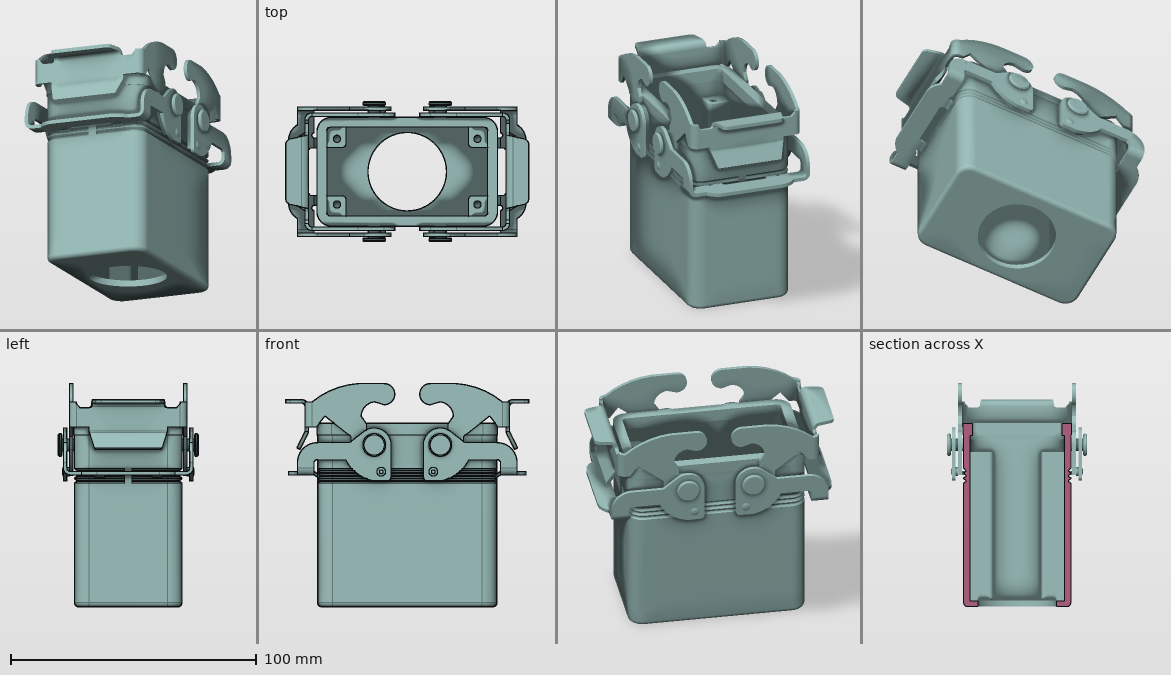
import cadquery as cq
import math

HOUSING_LENGTH = 73.0
HOUSING_WIDTH = 43.8
HOUSING_HEIGHT = 74.8
HOUSING_CORNER = 6.0
WALL_X = 3.5
WALL_Y = 2.9
FLOOR = 2.6
BOTTOM_ROUND = 1.8
RIM_HEIGHT = 4.8
RIM_STEP = 0.3
CAVITY_CORNER = 3.0
MOUTH_LENGTH = 65.5
MOUTH_WIDTH = 36.2
MOUTH_CORNER = 1.7
MOUTH_DEPTH = 5.1
CABLE_HOLE_RADIUS = 15.9
POST_TOP = 62.9
POST_INNER_X = 24.9
POST_INNER_Y = 9.9
POST_ROUND = 1.5
SCREW_HOLE_RADIUS = 1.5
SCREW_HOLE_DEPTH = 14.8
SCREW_X = 28.6
SCREW_Y = 13.4
GROOVE_DEPTH = 1.0
GROOVE_COUNT = 3
GROOVE_TOP = 56.4
GROOVE_PITCH = 2.1
GROOVE_FALL = 0.9
GROOVE_ROOT = 0.3
GROOVE_RISE = 0.6
GROOVE_BREAK = 3.2

SHEET = 1.5
BEND = 2.9
INNER_FACE_Y = 24.0
OUTER_FACE_Y = 26.4
PIVOT_X = -13.5
PIVOT_Z = 65.9

HEAD_RADIUS = 4.7
HEAD_Y = 28.5
HEAD_THICKNESS = 1.6
HEAD_CHAMFER = 0.5
PIN_RADIUS = 2.5
PIN_END_RADIUS = 1.73

STUD_X = -10.6
STUD_Z = 55.0
STUD_RADIUS = 1.8
STUD_TIP_RADIUS = 0.8
STUD_RISE = 0.4

HOOK_WALL_X = -41.7
HOOK_TOP = 91.0
HOOK_END_RADIUS = 4.4
HOOK_END_X = -9.4
HOOK_WALL_TOP = 81.2
HOOK_WALL_BOTTOM = 73.1
SHOULDER_Z = 83.4

TAB_END_X = -49.5
TAB_TOP = 84.4
TAB_HALF_WIDTH = 15.0
TAB_END_HALF_WIDTH = 12.9
TAB_ROUND = 2.2
TAB_FOOT_ROUND = 1.0

FLAP_HALF_WIDTH = 15.9
FLAP_END_HALF_WIDTH = 13.6
FLAP_BEND_Z = 71.4
FLAP_ANGLE = 26.5
FLAP_LENGTH = 7.4
FLAP_ROUND = 1.0
FLAP_BEND = 1.5

BAIL_RADIUS = 6.9
BAIL_SHOULDER_ANGLE = 126.0
BAIL_BOTTOM = 51.3
BAIL_ARM_TOP = 66.9
BAIL_ARM_BOTTOM = 59.9
BAIL_OUTER_X = -44.7
BAIL_INNER_X = -37.9
BAIL_ELBOW = 8.1
BAIL_INNER_ROUND = 0.8
FLANGE_BOTTOM = 53.6
FLANGE_END_X = -48.4
FLANGE_WINDOW_X = -40.2
TONGUE_INNER_Y = 9.6
TONGUE_OUTER_Y = 13.8
TONGUE_END_X = -HOUSING_LENGTH / 2
TONGUE_DROP = 0.9
BEND_TOP = FLANGE_BOTTOM + BEND


def plan_block(length, width, height, corner, bottom=0.0):
    """Upright block with rounded corners, centred on the Z axis."""
    block = cq.Workplane("XY").workplane(offset=bottom).rect(length, width).extrude(height)
    return block.edges("|Z").fillet(corner)


def plate_from_side(outline, y_from, y_to):
    """Extrude a closed XZ outline between two Y positions."""
    return outline.extrude(y_from - y_to).translate((0, y_from, 0))


def both_sides(shape):
    """The shape together with its mirror image across the XZ plane."""
    return shape.union(shape.mirror("XZ"))


def rounded_section(inset, height):
    """Housing outline, moved inward by inset, at a height."""
    section = (
        cq.Sketch()
        .rect(HOUSING_LENGTH - 2 * inset, HOUSING_WIDTH - 2 * inset)
        .vertices()
        .fillet(HOUSING_CORNER - inset)
    )
    return section.moved(cq.Location(cq.Vector(0, 0, height)))


def section_band(inset_low, z_low, inset_high, z_high):
    """Band between two heights whose outline is the housing's, moved inward by an inset at each end."""
    low = rounded_section(inset_low, z_low)
    high = rounded_section(inset_high, z_high)
    return cq.Workplane("XY").placeSketch(low, high).loft(ruled=True)


def make_housing_shell():
    lower_height = HOUSING_HEIGHT - RIM_HEIGHT
    body = plan_block(HOUSING_LENGTH, HOUSING_WIDTH, lower_height, HOUSING_CORNER)
    body = body.faces("<Z").edges().fillet(BOTTOM_ROUND)
    rim = plan_block(
        HOUSING_LENGTH + 2 * RIM_STEP, HOUSING_WIDTH + 2 * RIM_STEP, RIM_HEIGHT, HOUSING_CORNER, lower_height
    )
    return body.union(rim)


def make_groove_cutters():
    """Material removed by the grooves, which a rib interrupts at each end."""
    groove_height = GROOVE_FALL + GROOVE_ROOT + GROOVE_RISE
    cutters = []
    for index in range(GROOVE_COUNT):
        top = GROOVE_TOP - index * GROOVE_PITCH
        root_top = top - GROOVE_FALL
        root_bottom = root_top - GROOVE_ROOT
        bottom = top - groove_height
        cutter = plan_block(HOUSING_LENGTH, HOUSING_WIDTH, groove_height, HOUSING_CORNER, bottom)
        cutter = cutter.cut(section_band(GROOVE_DEPTH, root_top, 0, top))
        cutter = cutter.cut(section_band(GROOVE_DEPTH, root_bottom, GROOVE_DEPTH, root_top))
        cutter = cutter.cut(section_band(0, bottom, GROOVE_DEPTH, root_bottom))
        rib = cq.Workplane("XY").box(HOUSING_LENGTH, GROOVE_BREAK, 2 * top)
        cutters.append(cutter.cut(rib))
    return cutters


def make_corner_posts():
    """Screw posts sunk halfway into the walls, so that only their free corner stays round."""
    outer_x = HOUSING_LENGTH / 2 - WALL_X / 2
    outer_y = HOUSING_WIDTH / 2 - WALL_Y / 2
    bottom = FLOOR / 2
    post = plan_block(
        outer_x - POST_INNER_X, outer_y - POST_INNER_Y, POST_TOP - bottom, POST_ROUND, bottom
    )
    center_x = (outer_x + POST_INNER_X) / 2
    center_y = (outer_y + POST_INNER_Y) / 2
    return [
        post.translate((side_x * center_x, side_y * center_y, 0))
        for side_x in (-1, 1)
        for side_y in (-1, 1)
    ]


def make_screw_hole(x, y):
    """Blind hole with a conical drill point."""
    return (
        cq.Workplane("XZ")
        .moveTo(0, POST_TOP)
        .lineTo(SCREW_HOLE_RADIUS, POST_TOP)
        .lineTo(SCREW_HOLE_RADIUS, POST_TOP - SCREW_HOLE_DEPTH)
        .lineTo(0, POST_TOP - SCREW_HOLE_DEPTH - SCREW_HOLE_RADIUS)
        .close()
        .revolve(360, (0, 0), (0, 1))
        .translate((x, y, 0))
    )


def make_cavity():
    """Main pocket below a slightly narrower mouth."""
    lip_bottom = HOUSING_HEIGHT - MOUTH_DEPTH
    pocket = plan_block(
        HOUSING_LENGTH - 2 * WALL_X, HOUSING_WIDTH - 2 * WALL_Y, lip_bottom - FLOOR, CAVITY_CORNER, FLOOR
    )
    mouth = plan_block(MOUTH_LENGTH, MOUTH_WIDTH, MOUTH_DEPTH, MOUTH_CORNER, lip_bottom)
    return pocket.union(mouth)


def make_housing():
    body = make_housing_shell().cut(make_cavity())
    for post in make_corner_posts():
        body = body.union(post)
    for cutter in make_groove_cutters():
        body = body.cut(cutter)
    for x in (-SCREW_X, SCREW_X):
        for y in (-SCREW_Y, SCREW_Y):
            body = body.cut(make_screw_hole(x, y))
    cable_hole = cq.Workplane("XY").circle(CABLE_HOLE_RADIUS).extrude(FLOOR)
    pin_holes = (
        cq.Workplane("XZ").pushPoints([(-PIVOT_X, PIVOT_Z), (PIVOT_X, PIVOT_Z)])
        .circle(PIN_END_RADIUS).extrude(HOUSING_WIDTH, both=True)
    )
    return body.cut(cable_hole).cut(pin_holes)


def hook_outline():
    """Side outline of the hook plates, including the wall between them."""
    end_z = HOOK_TOP - HOOK_END_RADIUS
    return (
        cq.Workplane("XZ")
        .moveTo(HOOK_WALL_X, HOOK_WALL_BOTTOM)
        .lineTo(HOOK_WALL_X, SHOULDER_Z)
        .lineTo(-38.8, SHOULDER_Z)
        .threePointArc((-27.7, 89.5), (-15.2, HOOK_TOP))
        .lineTo(HOOK_END_X, HOOK_TOP)
        .threePointArc((HOOK_END_X + HOOK_END_RADIUS, end_z), (HOOK_END_X, end_z - HOOK_END_RADIUS))
        .threePointArc((-11.3, 82.8), (-13.4, 83.4))
        .threePointArc((-16.5, 82.1), (-18.7, 77.6))
        .lineTo(-16.6, 74.6)
        .lineTo(-16.6, 71.3)
        .threePointArc((-10.2, 69.2), (-8.9, PIVOT_Z))
        .lineTo(-8.9, 53.5)
        .lineTo(-14.4, 53.5)
        .threePointArc((-19.6, 57.1), (-23.0, 64.0))
        .lineTo(-23.0, 69.4)
        .lineTo(-33.6, 77.7)
        .lineTo(-37.0, HOOK_WALL_BOTTOM)
        .close()
    )


def make_hook_plates():
    """U-shaped sheet: two hook plates joined by an end wall."""
    length = 2 * abs(HOOK_WALL_X)
    outer = plan_block(length, 2 * INNER_FACE_Y, HOOK_TOP, BEND)
    inner = plan_block(length - 2 * SHEET, 2 * (INNER_FACE_Y - SHEET), HOOK_TOP, BEND - SHEET)
    sheet = outer.cut(inner)
    sheet = sheet.intersect(plate_from_side(hook_outline(), -INNER_FACE_Y, INNER_FACE_Y))
    shoulder_y = INNER_FACE_Y - BEND
    slope = BEND / 2
    relief = (
        cq.Workplane("YZ")
        .moveTo(-shoulder_y, HOOK_TOP)
        .lineTo(-shoulder_y, SHOULDER_Z - slope / 2)
        .lineTo(slope - shoulder_y, HOOK_WALL_TOP)
        .lineTo(shoulder_y - slope, HOOK_WALL_TOP)
        .lineTo(shoulder_y, SHOULDER_Z - slope / 2)
        .lineTo(shoulder_y, HOOK_TOP)
        .close()
        .extrude(2 * HOOK_WALL_X)
    )
    return sheet.cut(relief)


def make_tab():
    """Thumb tab bent outward from the top of the end wall."""
    inner_x = HOOK_WALL_X + SHEET
    bend_x = inner_x - BEND
    bend_z = TAB_TOP - BEND
    inner_bend = BEND - SHEET
    diagonal = math.sqrt(0.5)
    profile = (
        cq.Workplane("XZ")
        .moveTo(HOOK_WALL_X, HOOK_WALL_TOP)
        .lineTo(inner_x, HOOK_WALL_TOP)
        .lineTo(inner_x, bend_z)
        .threePointArc((bend_x + BEND * diagonal, bend_z + BEND * diagonal), (bend_x, TAB_TOP))
        .lineTo(TAB_END_X, TAB_TOP)
        .lineTo(TAB_END_X, TAB_TOP - SHEET)
        .lineTo(bend_x, TAB_TOP - SHEET)
        .threePointArc(
            (bend_x + inner_bend * diagonal, bend_z + inner_bend * diagonal), (HOOK_WALL_X, bend_z)
        )
        .close()
    )
    plan = (
        cq.Workplane("XY")
        .moveTo(inner_x, -TAB_HALF_WIDTH)
        .lineTo(inner_x, TAB_HALF_WIDTH)
        .lineTo(TAB_END_X, TAB_END_HALF_WIDTH)
        .lineTo(TAB_END_X, -TAB_END_HALF_WIDTH)
        .close()
        .extrude(HOOK_TOP)
        .edges("|Z and <X").fillet(TAB_ROUND)
    )
    return plate_from_side(profile, -TAB_HALF_WIDTH, TAB_HALF_WIDTH).intersect(plan)


def make_flap():
    """Flap below the end wall, leaning outward."""
    angle = math.radians(FLAP_ANGLE)
    inner_x = HOOK_WALL_X + SHEET
    run = FLAP_LENGTH * math.sin(angle)
    drop = FLAP_LENGTH * math.cos(angle)
    inner_bend_z = FLAP_BEND_Z - SHEET * math.tan(angle / 2)
    end_x = HOOK_WALL_X - run
    end_z = FLAP_BEND_Z - drop
    tip_z = end_z - SHEET * math.sin(angle)
    profile = (
        cq.Workplane("XZ")
        .moveTo(HOOK_WALL_X, HOOK_WALL_BOTTOM)
        .lineTo(HOOK_WALL_X, FLAP_BEND_Z)
        .lineTo(end_x, end_z)
        .lineTo(end_x + SHEET * math.cos(angle), tip_z)
        .lineTo(inner_x, inner_bend_z)
        .lineTo(inner_x, HOOK_WALL_BOTTOM)
        .close()
    )
    face = (
        cq.Workplane("YZ")
        .moveTo(-FLAP_HALF_WIDTH, HOOK_WALL_BOTTOM)
        .lineTo(-FLAP_HALF_WIDTH, FLAP_BEND_Z)
        .lineTo(-FLAP_END_HALF_WIDTH, tip_z)
        .lineTo(FLAP_END_HALF_WIDTH, tip_z)
        .lineTo(FLAP_HALF_WIDTH, FLAP_BEND_Z)
        .lineTo(FLAP_HALF_WIDTH, HOOK_WALL_BOTTOM)
        .close()
        .extrude(2 * HOOK_WALL_X)
        .edges("|X and <Z").fillet(FLAP_ROUND)
    )
    plate = plate_from_side(profile, -FLAP_HALF_WIDTH, FLAP_HALF_WIDTH)
    plate = plate.edges(cq.NearestToPointSelector((HOOK_WALL_X, 0, FLAP_BEND_Z))).fillet(FLAP_BEND)
    plate = plate.edges(cq.NearestToPointSelector((inner_x, 0, inner_bend_z))).fillet(FLAP_BEND + SHEET)
    return plate.intersect(face)


def bail_outline():
    """Side outline of the bail plates above the bend."""
    tangent_angle = math.radians(BAIL_SHOULDER_ANGLE)
    round_start = (
        PIVOT_X + BAIL_RADIUS * math.cos(tangent_angle),
        PIVOT_Z + BAIL_RADIUS * math.sin(tangent_angle),
    )
    elbow_x = BAIL_OUTER_X + BAIL_ELBOW
    elbow_z = BAIL_ARM_TOP - BAIL_ELBOW
    diagonal = BAIL_ELBOW * math.sqrt(0.5)
    right_x = PIVOT_X + BAIL_RADIUS
    return (
        cq.Workplane("XZ")
        .moveTo(BAIL_OUTER_X, BEND_TOP)
        .lineTo(BAIL_OUTER_X, elbow_z)
        .threePointArc((elbow_x - diagonal, elbow_z + diagonal), (elbow_x, BAIL_ARM_TOP))
        .lineTo(-23.5, BAIL_ARM_TOP)
        .lineTo(*round_start)
        .threePointArc((PIVOT_X, PIVOT_Z + BAIL_RADIUS), (right_x, PIVOT_Z))
        .lineTo(right_x, 52.8)
        .threePointArc((-7.0, 51.8), (-8.1, 51.4))
        .lineTo(-13.5, BAIL_BOTTOM)
        .threePointArc((-21.8, 55.4), (-25.0, BAIL_ARM_BOTTOM))
        .lineTo(BAIL_INNER_X + BAIL_INNER_ROUND, BAIL_ARM_BOTTOM)
        .lineTo(BAIL_INNER_X, BAIL_ARM_BOTTOM - BAIL_INNER_ROUND)
        .lineTo(BAIL_INNER_X, BEND_TOP)
        .close()
    )


def bail_sheet_block(half_width, bottom, bend):
    """Long block along X with rounded lower edges."""
    block = cq.Workplane("XY").box(
        2 * abs(TAB_END_X), 2 * half_width, HOOK_TOP, centered=(True, True, False)
    )
    return block.translate((0, 0, bottom)).edges("|X and <Z").fillet(bend)


def flange_half_plan():
    """Upright block over the flange plan on the +Y side, without the tongue."""
    return (
        cq.Workplane("XY")
        .moveTo(FLANGE_END_X, 0)
        .lineTo(FLANGE_END_X, 12.7)
        .threePointArc((-47.1, 16.8), (BAIL_OUTER_X, 19.1))
        .lineTo(BAIL_OUTER_X, OUTER_FACE_Y)
        .lineTo(BAIL_INNER_X, OUTER_FACE_Y)
        .lineTo(BAIL_INNER_X, 15.8)
        .threePointArc((-38.8, 14.8), (BAIL_INNER_X, TONGUE_OUTER_Y))
        .lineTo(BAIL_INNER_X, TONGUE_INNER_Y)
        .lineTo(FLANGE_WINDOW_X + BAIL_INNER_ROUND, TONGUE_INNER_Y)
        .lineTo(FLANGE_WINDOW_X, TONGUE_INNER_Y - BAIL_INNER_ROUND)
        .lineTo(FLANGE_WINDOW_X, 0)
        .close()
        .extrude(BEND_TOP)
    )


def make_tongue():
    """Tongue that leans down from the flange into the housing grooves."""
    flange_top = FLANGE_BOTTOM + SHEET
    profile = (
        cq.Workplane("XZ")
        .moveTo(BAIL_INNER_X, flange_top)
        .lineTo(TONGUE_END_X, flange_top - TONGUE_DROP)
        .lineTo(TONGUE_END_X, FLANGE_BOTTOM - TONGUE_DROP)
        .lineTo(BAIL_INNER_X, FLANGE_BOTTOM)
        .close()
    )
    return plate_from_side(profile, TONGUE_INNER_Y, TONGUE_OUTER_Y)


def make_bail():
    """Two outer plates joined by the flange beside the end of the housing."""
    sheet = bail_sheet_block(OUTER_FACE_Y, FLANGE_BOTTOM, BEND).cut(
        bail_sheet_block(OUTER_FACE_Y - SHEET, FLANGE_BOTTOM + SHEET, BEND - SHEET)
    )
    flange = sheet.intersect(both_sides(flange_half_plan()))
    plate = plate_from_side(bail_outline(), OUTER_FACE_Y - SHEET, OUTER_FACE_Y)
    return both_sides(plate).union(flange).union(both_sides(make_tongue()))


def round_bar(x, z, radius, y_from, y_to):
    """Round bar along Y."""
    return cq.Workplane("XZ", origin=(x, y_from, z)).circle(radius).extrude(y_from - y_to)


def make_pin():
    """Pivot pin with its head, and the stud below it, on the +Y side; both join the plates."""
    head_base = HEAD_Y - HEAD_THICKNESS
    wall_face = HOUSING_WIDTH / 2
    head = round_bar(PIVOT_X, PIVOT_Z, HEAD_RADIUS, head_base, HEAD_Y).edges().chamfer(HEAD_CHAMFER)
    shank = round_bar(PIVOT_X, PIVOT_Z, PIN_RADIUS, wall_face, head_base)
    end = round_bar(PIVOT_X, PIVOT_Z, PIN_END_RADIUS, wall_face - WALL_Y, wall_face)
    stud = round_bar(STUD_X, STUD_Z, STUD_RADIUS, INNER_FACE_Y, OUTER_FACE_Y)
    tip = (
        cq.Workplane("XZ", origin=(STUD_X, OUTER_FACE_Y, STUD_Z)).circle(STUD_RADIUS)
        .workplane(offset=-STUD_RISE).circle(STUD_TIP_RADIUS).loft()
    )
    return head.union(shank).union(end).union(stud).union(tip)


def make_lever():
    hook = make_hook_plates().union(make_tab())
    for side in (-1, 1):
        tab_foot = (HOOK_WALL_X + SHEET / 2, side * TAB_HALF_WIDTH, HOOK_WALL_TOP)
        hook = hook.edges(cq.NearestToPointSelector(tab_foot)).fillet(TAB_FOOT_ROUND)
    hook = hook.union(make_flap())
    return hook.union(make_bail()).union(both_sides(make_pin()))


housing = make_housing()
lever = make_lever()
levers = [lever.rotate((0, 0, 0), (0, 0, 1), turn) for turn in (0, 180)]

result = cq.Compound.makeCompound([housing.val(), *[one.val() for one in levers]])